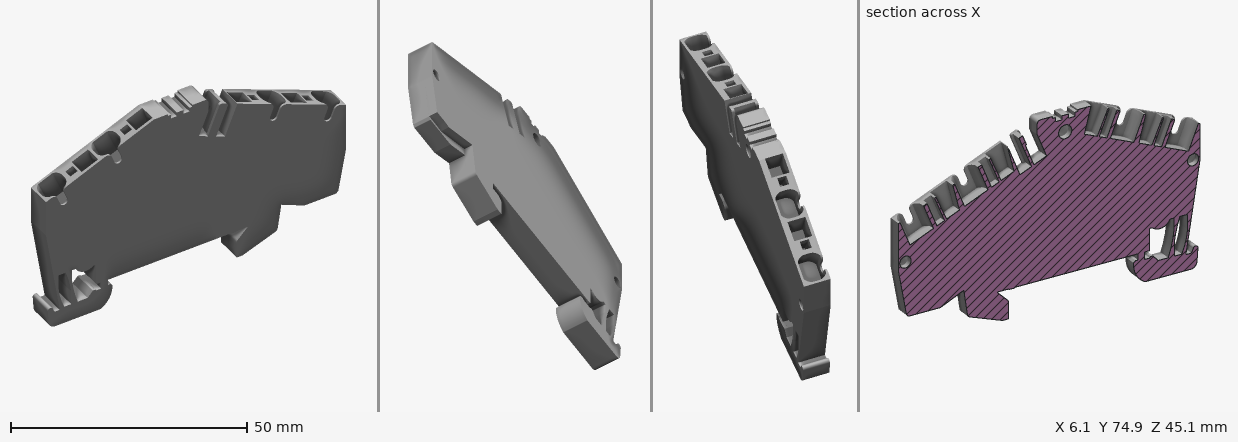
import cadquery as cq
import math

length = 74.9
height = 45.1
thickness = 6.1
cover_thickness = 0.5
y_back = length / 2
y_front = -length / 2
rail_z = 7.05

slope = math.radians(22.5)
back_shoulder_z = 29.65
front_shoulder_z = 33.9
block_back_y = 3.1
block_front_y = y_front + (height - front_shoulder_z) / math.tan(slope)

slot_start = 29.35
slot_width = 2.4
fin_thickness = 2.25
fin_start = slot_start + slot_width
fin_end = fin_start + fin_thickness
slot_end = fin_end + slot_width
slot_depth = 8.1
fin_corner_radius = 0.6
fin_side_margin = 0.7
fin_recess = 0.6
recess_overcut = 0.75
latch_groove_width = 1.1
latch_groove_depth = 0.3
latch_groove_top = 2.6

label_y = -4.0
label_half_width = 3.1
label_step = 0.45
label_depth = 1.4
ridge_half_width = 0.8
channel_half_width = 2.3

cross_hole_depth = 3.75
cross_holes = [(35.7, 20.1, 1.35), (label_y, 40.6, 1.6), (-35.7, 25.75, 1.35)]

entry_pitch = 13.55
entry_depth = 6.45
funnel_y = 34.15
test_hole_y = 29.4
pocket_y = 26.05
funnel_length = 6.2
funnel_radius = 2.25
funnel_end_flat = 1.1
funnel_width = 5.1
test_hole_width = 2.0
test_hole_length = 1.95
test_hole_x = 3.45
pocket_width = 4.05
pocket_length = 4.4
pocket_x = 3.4
pocket_uphill_lean = math.radians(7.7)
pocket_downhill_lean = math.radians(1.7)
notch_width = 1.95
notch_depth = 4.1
notch_overcut = 1.1
notch_flare = 1.2

back_low = (y_back, 18.05)
front_low = (y_front, 25.0)
heel = (20.3, 3.15)
hook_toe = (11.6, 0)
hook_low = (10.0, 0)
hook_tip = (10.0, 4.3)
seat_front = (-25.0, rail_z)
block_radius = 1.0
heel_radius = 1.0
hook_tip_radius = 1.1
small_radius = 0.3

window_top_z = 13.2
foot_floor_z = 4.3
foot_top_z = 5.7
lip_floor_z = 3.9
stop_seat_z = 5.4

step_x = 2.0
near_tail = [(21.6, 11.4), (30.85, 7.5), (32.35, 7.7), (35.5, 7.7)]
near_hook = [(13.5, rail_z), (13.5, 5.2), (11.45, 5.2)]
far_tail = [(21.3, 9.6), (27.0, rail_z), (35.0, rail_z), (35.5, 7.6)]
far_hook = [(12.9, rail_z)]

stop_x = 3.0
stop_back_y = -22.0
stop_front_y = -23.7
stop_low_z = 5.25
rail_block_root = 0.75
rib_back_y = 10.1
rib_front_y = 8.4
rib_height = 0.15


def shoulder_point(along, depth):
    """Point on the back shoulder: distance from the back end, then depth below the slope."""
    y = y_back - along * math.cos(slope) - depth * math.sin(slope)
    z = back_shoulder_z + along * math.sin(slope) - depth * math.cos(slope)
    return (y, z)


def round_corner(solid, corner, radius):
    """Fillet the edge that runs along X through the given (y, z) corner."""
    y, z = corner
    reach = 0.1
    box = cq.selectors.BoxSelector(
        (-thickness, y - reach, z - reach), (2 * thickness, y + reach, z + reach)
    )
    return solid.edges("|X").edges(box).fillet(radius)


def side_plane(x):
    return cq.Workplane("YZ", origin=(x, 0, 0))


def spring_window(x_start, depth):
    """Slit between the two spring legs."""
    return (
        side_plane(x_start)
        .moveTo(-32.5, window_top_z)
        .lineTo(-34.3, window_top_z)
        .lineTo(-34.3, 9.7)
        .threePointArc((-33.85, 7.05), (-32.9, foot_floor_z))
        .lineTo(-31.15, foot_floor_z)
        .lineTo(-31.15, 7.7)
        .threePointArc((-31.6, 10.2), (-32.5, window_top_z))
        .close()
        .extrude(depth)
    )


def label_groove(x_start, depth):
    """Stepped groove with a ridge along its middle, open at the top of the centre block."""
    return (
        side_plane(x_start)
        .center(label_y, height)
        .polyline([
            (label_half_width, 0),
            (label_half_width, -label_step),
            (channel_half_width, -label_step),
            (channel_half_width, -label_depth),
            (ridge_half_width, -label_depth),
            (ridge_half_width, -label_step),
            (-ridge_half_width, -label_step),
            (-ridge_half_width, -label_depth),
            (-channel_half_width, -label_depth),
            (-channel_half_width, -label_step),
            (-label_half_width, -label_step),
            (-label_half_width, 0),
        ])
        .close()
        .extrude(depth)
    )


def profile_plate(x_start, plate_thickness, tail, hook):
    """Plate with the side profile; tail and hook are the (y, z) points that vary across X."""
    slot_wall_foot = shoulder_point(slot_end, slot_depth)
    slot_wall_top_z = slot_wall_foot[1] + (block_back_y - slot_wall_foot[0]) / math.tan(slope)
    fin_corners = [shoulder_point(fin_start, 0), shoulder_point(fin_end, 0)]
    block_corner = (block_back_y, height)
    upper = [
        back_low,
        (y_back, back_shoulder_z),
        shoulder_point(slot_start, 0),
        shoulder_point(slot_start, slot_depth),
        shoulder_point(fin_start, slot_depth),
        *fin_corners,
        shoulder_point(fin_end, slot_depth),
        slot_wall_foot,
        (block_back_y, slot_wall_top_z),
        block_corner,
        (block_front_y, height),
        (y_front, front_shoulder_z),
        front_low,
    ]
    plate = (
        side_plane(x_start)
        .polyline(upper)
        .lineTo(-34.15, 4.8)
        .lineTo(-34.0, lip_floor_z)
        .lineTo(-35.3, lip_floor_z)
        .lineTo(-35.7, 4.8)
        .threePointArc((-36.3, 5.3), (-37.0, 4.65))
        .lineTo(-36.8, 1.65)
        .threePointArc((-36.25, 0.45), (-35.1, 0))
        .lineTo(-23.8, 0)
        .threePointArc((-21.95, 1.6), (-20.9, 4.3))
        .lineTo(-20.9, 5.25)
        .lineTo(-21.4, foot_top_z)
        .lineTo(-22.0, foot_top_z)
        .lineTo(-22.4, stop_seat_z)
        .lineTo(-24.95, stop_seat_z)
        .lineTo(-25.2, foot_top_z)
        .lineTo(-25.75, foot_top_z)
        .lineTo(-27.0, foot_floor_z)
        .lineTo(-29.5, foot_floor_z)
        .threePointArc((-30.5, 7.65), (-30.9, 10.5))
        .lineTo(-30.9, window_top_z)
        .lineTo(-30.0, window_top_z)
        .threePointArc((-27.7, 11.6), (-25.6, 12.3))
        .lineTo(seat_front[0], 12.3)
        .lineTo(*seat_front)
        .polyline([seat_front, *hook, hook_tip, hook_low, hook_toe, heel, *tail])
        .close()
        .extrude(plate_thickness)
    )
    rounded_corners = [
        (fin_corners[0], fin_corner_radius),
        (fin_corners[1], fin_corner_radius),
        (block_corner, block_radius),
        (heel, heel_radius),
        (hook_tip, hook_tip_radius),
        (hook_low, small_radius),
        (seat_front, small_radius),
    ]
    for corner, radius in rounded_corners:
        plate = round_corner(plate, corner, radius)
    return plate.cut(spring_window(x_start, plate_thickness)).cut(label_groove(x_start, plate_thickness))


def drill_cross_holes(body, x_start, depth):
    for y, z, radius in cross_holes:
        body = body.cut(side_plane(x_start).center(y, z).circle(radius).extrude(depth))
    return body


def make_cover():
    cover = profile_plate(0, cover_thickness, near_tail, near_hook)
    return drill_cross_holes(cover, 0, cover_thickness)


def entry_plane(side, distance_from_middle, x):
    """Plane on a shoulder; side is +1 at the back and -1 at the front.

    Local x runs across the block, local y along the shoulder and the normal points outward.
    """
    end_z = back_shoulder_z if side > 0 else front_shoulder_z
    z = end_z + (length / 2 - distance_from_middle) * math.tan(slope)
    normal = (0, side * math.sin(slope), math.cos(slope))
    origin = (x, side * distance_from_middle, z)
    return cq.Workplane(cq.Plane(origin=origin, xDir=(1, 0, 0), normal=normal))


def funnel(side, distance):
    """Round-cornered wire funnel, flattened where it meets the cover and the far wall."""
    plane = entry_plane(side, distance, cover_thickness + funnel_width / 2)
    rounded = (
        plane.rect(funnel_end_flat + 2 * funnel_radius, funnel_length)
        .extrude(-entry_depth)
        .edges(cq.selectors.ParallelDirSelector(plane.plane.zDir))
        .fillet(funnel_radius)
    )
    limit = plane.rect(funnel_width, funnel_length).extrude(-entry_depth)
    return rounded.intersect(limit)


def wall_notch(side, distance):
    """U-shaped notch with a flared mouth through the far wall beside a funnel."""
    slope_plane = entry_plane(side, distance, thickness).plane
    wall_plane = cq.Plane(origin=slope_plane.origin, xDir=slope_plane.yDir, normal=(1, 0, 0))
    half = notch_width / 2
    mouth = half + notch_flare
    bend = notch_flare * (1 - math.sqrt(0.5))
    far_wall = thickness - cover_thickness - funnel_width
    return (
        cq.Workplane(wall_plane)
        .moveTo(-mouth, 0)
        .threePointArc((-half - bend, -bend), (-half, -notch_flare))
        .lineTo(-half, half - notch_depth)
        .threePointArc((0, -notch_depth), (half, half - notch_depth))
        .lineTo(half, -notch_flare)
        .threePointArc((half + bend, -bend), (mouth, 0))
        .close()
        .extrude(-far_wall - notch_overcut)
    )


def test_hole(side, distance):
    plane = entry_plane(side, distance, test_hole_x)
    return plane.rect(test_hole_width, test_hole_length).extrude(-entry_depth)


def driver_pocket(side, distance):
    """Screwdriver pocket that narrows along the shoulder towards its floor."""
    slope_plane = entry_plane(side, distance, pocket_x - pocket_width / 2).plane
    half = pocket_length / 2
    down = slope_plane.yDir * side
    section_plane = cq.Plane(origin=slope_plane.origin, xDir=down, normal=(side, 0, 0))
    return (
        cq.Workplane(section_plane)
        .moveTo(-half, 0)
        .lineTo(half, 0)
        .lineTo(half - entry_depth * math.tan(pocket_downhill_lean), -entry_depth)
        .lineTo(-half + entry_depth * math.tan(pocket_uphill_lean), -entry_depth)
        .close()
        .extrude(side * pocket_width)
    )


def thin_fin(housing):
    """Recess the middle of the fin on both faces and cut the latch groove in its front face."""
    for start in (fin_start, fin_end - fin_recess):
        corners = [
            shoulder_point(start, -recess_overcut),
            shoulder_point(start + fin_recess, -recess_overcut),
            shoulder_point(start + fin_recess, slot_depth),
            shoulder_point(start, slot_depth),
        ]
        recess = side_plane(fin_side_margin).polyline(corners).close()
        housing = housing.cut(recess.extrude(thickness - 2 * fin_side_margin))

    face = fin_end - fin_recess
    groove = [
        shoulder_point(face - latch_groove_depth, latch_groove_top),
        shoulder_point(face, latch_groove_top),
        shoulder_point(face, slot_depth),
        shoulder_point(face - latch_groove_depth, slot_depth),
    ]
    groove_x = (thickness - latch_groove_width) / 2
    return housing.cut(side_plane(groove_x).polyline(groove).close().extrude(latch_groove_width))


def rail_block(back, front, low):
    """Block that stands below the rail seat and is rooted in it."""
    outline = side_plane(stop_x).polyline([
        (back, low), (front, low), (front, rail_z + rail_block_root), (back, rail_z + rail_block_root)
    ])
    return outline.close().extrude(thickness - stop_x)


def make_housing():
    near_part = profile_plate(cover_thickness, step_x - cover_thickness, near_tail, near_hook)
    far_part = profile_plate(step_x, thickness - step_x, far_tail, far_hook)
    housing = drill_cross_holes(near_part.union(far_part), cover_thickness, cross_hole_depth)
    for side in (1, -1):
        for inward in (0, entry_pitch):
            housing = housing.cut(funnel(side, funnel_y - inward))
            housing = housing.cut(wall_notch(side, funnel_y - inward))
            housing = housing.cut(test_hole(side, test_hole_y - inward))
            housing = housing.cut(driver_pocket(side, pocket_y - inward))
    housing = thin_fin(housing)
    housing = housing.union(rail_block(stop_back_y, stop_front_y, stop_low_z))
    return housing.union(rail_block(rib_back_y, rib_front_y, rail_z - rib_height))


housing = make_housing()
cover = make_cover()
result = cq.Compound.makeCompound([housing.val(), cover.val()])